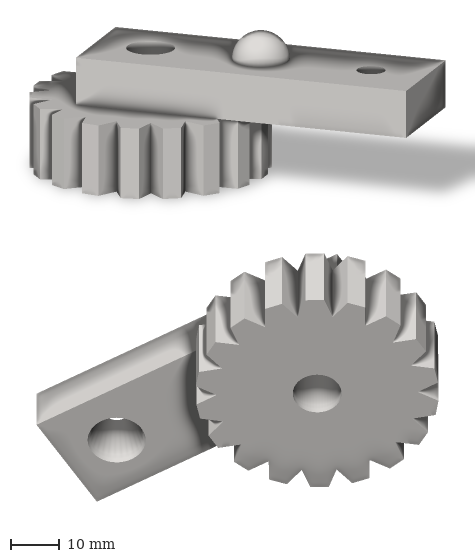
import cadquery as cq
import math

overall_length = 85.0
tooth_count = 18
tip_distance = 24.9
tip_width = 3.8
root_radius = 20.65
gear_height = 15.05
bar_width = 24.0
bar_height = 10.0
bore_diameter = 10.0
end_hole_top_diameter = 5.95
dome_radius = 5.95

bar_overhang = bar_width / 2
bar_end = overall_length - tip_distance
bar_length = bar_end + bar_overhang
end_hole_x = bar_end - bar_overhang
dome_x = end_hole_x / 2
bar_top = gear_height + bar_height


def polar(radius, angle):
    """Point at the given distance and angle (radians) around the gear axis."""
    return (radius * math.cos(angle), radius * math.sin(angle))


def gear_outline():
    """Two tip corners per tooth, followed by the root of the next gap."""
    pitch_angle = 2 * math.pi / tooth_count
    tip_half_angle = math.atan2(tip_width / 2, tip_distance)
    corner_radius = math.hypot(tip_distance, tip_width / 2)
    points = []
    for tooth in range(tooth_count):
        angle = tooth * pitch_angle
        points.append(polar(corner_radius, angle - tip_half_angle))
        points.append(polar(corner_radius, angle + tip_half_angle))
        points.append(polar(root_radius, angle + pitch_angle / 2))
    return points


gear = cq.Workplane("XY").polyline(gear_outline()).close().extrude(gear_height)

bar = (
    cq.Workplane("XY", origin=(-bar_overhang, 0, gear_height))
    .box(bar_length, bar_width, bar_height, centered=(False, True, False))
)

dome = cq.Workplane("XY", origin=(dome_x, 0, bar_top)).sphere(dome_radius)

bore = cq.Workplane("XY").circle(bore_diameter / 2).extrude(bar_top)

end_hole = (
    cq.Workplane("XY", origin=(end_hole_x, 0, gear_height))
    .circle(dome_radius)
    .workplane(offset=bar_height)
    .circle(end_hole_top_diameter / 2)
    .loft()
)

result = gear.union(bar).union(dome).cut(bore).cut(end_hole)